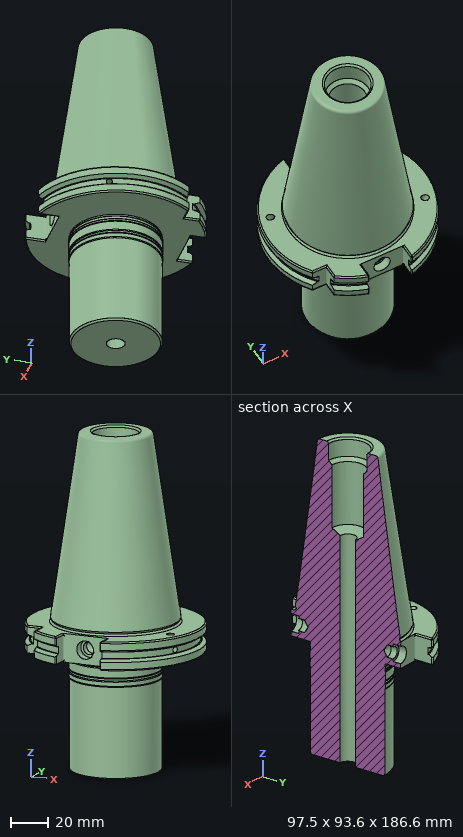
import cadquery as cq
import math


gauge_diameter = 69.85
taper_rate = 7 / 24
taper_length = 101.6
taper_tip_fillet = 2.0
taper_bottom = -1.0

neck_diameter = 68.8
neck_top = -2.1
neck_flare_diameter = 71.0

flange_diameter = 97.5
flange_top = -3.2
flange_thickness = 15.9
flange_chamfer = 0.8
inner_corner_fillet = 0.5
groove_center = -11.1
groove_floor_diameter = 91.25
groove_floor_width = 3.75
groove_mouth_width = 6.5
groove_half_angle = 30

keyway_width = 25.7
front_keyway_offset = 37.7
rear_keyway_offset = 35.3
notch_offset = 30.0

port_angle = 20
port_circle_radius = 42.0
port_diameter = 3.9
port_tilt = 30
screw_hole_diameter = 3.24

drive_hole_diameter = 7.0
drive_hole_depth = 9.0
drive_counterbore_diameter = 10.0
drive_counterbore_depth = 5.0

nose_diameter = 50.0
nose_length = 85.0
nose_chamfer = 1.0
band_diameter = 50.5
collar_top = -20.25
collar_bottom = -21.9
bands = [(-23.0, -29.2), (-30.3, -33.8)]
band_bevel_height = 0.6

bore_mouth_diameter = 27.2
pilot_diameter = 25.0
pilot_depth = 11.0
thread_bore_diameter = 20.75
thread_bore_depth = 50.0
through_diameter = 10.11
drill_point_angle = 118
countersink_angle = 90

flange_radius = flange_diameter / 2
flange_bottom = flange_top - flange_thickness
base_radius = gauge_diameter / 2 - taper_bottom * taper_rate / 2
tip_radius = gauge_diameter / 2 - taper_length * taper_rate / 2


def cone_height(large_diameter, small_diameter, included_angle):
    """Axial height of a cone frustum between two diameters."""
    return (large_diameter - small_diameter) / 2 / math.tan(math.radians(included_angle / 2))


def revolve_profile(points):
    """Solid of revolution about Z from (radius, z) points."""
    return cq.Workplane("XZ").polyline(points).close().revolve(360, (0, 0), (0, 1))


def make_taper():
    taper = revolve_profile([
        (0, flange_bottom),
        (neck_diameter / 2, flange_bottom),
        (neck_flare_diameter / 2, flange_top),
        (neck_diameter / 2, neck_top),
        (base_radius, taper_bottom),
        (tip_radius, taper_length),
        (0, taper_length),
    ])
    return taper.faces(">Z").edges().fillet(taper_tip_fillet)


def make_nose():
    nose = cq.Workplane("XY").workplane(offset=-nose_length).circle(nose_diameter / 2)
    nose = nose.extrude(nose_length + flange_bottom).faces("<Z").chamfer(nose_chamfer)
    nose = nose.union(make_band(collar_top, collar_bottom, 0))
    for top, bottom in bands:
        nose = nose.union(make_band(top, bottom, band_bevel_height))
    return nose


def make_band(top, bottom, bevel_height):
    """Raised band around the nose, with both ends bevelled, or square if the bevel height is 0."""
    core_radius = nose_diameter / 2
    band_radius = band_diameter / 2
    return revolve_profile([
        (0, bottom),
        (core_radius, bottom),
        (band_radius, bottom + bevel_height),
        (band_radius, top - bevel_height),
        (core_radius, top),
        (0, top),
    ])


def make_flange():
    flange = cq.Workplane("XY").workplane(offset=flange_bottom).circle(flange_radius)
    flange = flange.extrude(flange_thickness)

    def slab(x_low, x_high, y_low, y_high):
        box = cq.Workplane("XY").box(x_high - x_low, y_high - y_low, flange_thickness, centered=False)
        return box.translate((x_low, y_low, flange_bottom))

    half_width = keyway_width / 2
    flange = flange.cut(slab(-half_width, half_width, -flange_radius, -front_keyway_offset))
    flange = flange.cut(slab(-half_width, half_width, rear_keyway_offset, flange_radius))
    flange = flange.cut(slab(-flange_radius, -notch_offset, -flange_radius, -notch_offset))

    rim_and_walls = flange.faces("|Z").edges().filter(
        lambda edge: not is_keyway_floor_edge(edge)
    )
    keyway_corners = flange.edges("|Z").filter(is_keyway_corner)
    flange = rim_and_walls.add(keyway_corners).chamfer(flange_chamfer)
    flange = flange.edges("|Z").filter(is_inner_corner).fillet(inner_corner_fillet)
    return flange.cut(make_v_groove())


def is_keyway_floor_edge(edge):
    """Keyway floor edges are the only flange outline edges centred on X = 0."""
    return edge.geomType() == "LINE" and abs(edge.Center().x) < keyway_width / 4


def is_keyway_corner(edge):
    """Vertical edge where a keyway wall meets the rim."""
    center = edge.Center()
    on_rim = math.hypot(center.x, center.y) > groove_floor_diameter / 2
    return on_rim and abs(center.x) < keyway_width


def is_inner_corner(edge):
    """Vertical edge where two keyway or notch faces meet inside the rim."""
    center = edge.Center()
    return math.hypot(center.x, center.y) < groove_floor_diameter / 2


def make_v_groove():
    floor_radius = groove_floor_diameter / 2
    floor_half = groove_floor_width / 2
    mouth_half = groove_mouth_width / 2
    flank_depth = (mouth_half - floor_half) / math.tan(math.radians(groove_half_angle))
    flank_foot_radius = flange_radius - flank_depth
    return revolve_profile([
        (floor_radius, groove_center - floor_half),
        (flank_foot_radius, groove_center - floor_half),
        (flange_radius, groove_center - mouth_half),
        (flange_radius, groove_center + mouth_half),
        (flank_foot_radius, groove_center + floor_half),
        (floor_radius, groove_center + floor_half),
    ])


def make_bore():
    pilot_bottom = taper_length - pilot_depth
    entry_bottom = pilot_bottom - cone_height(pilot_diameter, thread_bore_diameter, countersink_angle)
    thread_bottom = taper_length - thread_bore_depth
    point_bottom = thread_bottom - cone_height(thread_bore_diameter, through_diameter, drill_point_angle)
    mouth_bottom = taper_length - cone_height(bore_mouth_diameter, pilot_diameter, countersink_angle)
    return revolve_profile([
        (0, taper_length),
        (bore_mouth_diameter / 2, taper_length),
        (pilot_diameter / 2, mouth_bottom),
        (pilot_diameter / 2, pilot_bottom),
        (thread_bore_diameter / 2, entry_bottom),
        (thread_bore_diameter / 2, thread_bottom),
        (through_diameter / 2, point_bottom),
        (through_diameter / 2, -nose_length),
        (0, -nose_length),
    ])


def make_drive_hole(floor_offset):
    """Counterbored drill hole along +Y, entering at Y = -floor_offset."""
    drill_radius = drive_hole_diameter / 2
    counterbore_radius = drive_counterbore_diameter / 2
    point_depth = drive_hole_depth + cone_height(drive_hole_diameter, 0, drill_point_angle)
    hole = cq.Workplane("XY").polyline([
        (0, 0),
        (counterbore_radius, 0),
        (counterbore_radius, drive_counterbore_depth),
        (drill_radius, drive_counterbore_depth),
        (drill_radius, drive_hole_depth),
        (0, point_depth),
    ]).close().revolve(360, (0, 0), (0, 1))
    return hole.translate((0, -floor_offset, groove_center))


def make_coolant_port():
    """Tilted port and the radial screw hole that meets it, on the +X side."""
    tilt = math.radians(port_tilt)
    drop = flange_top - groove_center
    meeting_radius = port_circle_radius - drop * math.tan(tilt)
    port_length = 2 * drop / math.cos(tilt)
    axis = cq.Vector(math.sin(tilt), 0, math.cos(tilt))
    port = cq.Workplane(cq.Solid.makeCylinder(
        port_diameter / 2,
        port_length,
        cq.Vector(meeting_radius, 0, groove_center),
        axis,
    ))
    screw_hole = cq.Workplane(cq.Solid.makeCylinder(
        screw_hole_diameter / 2,
        flange_radius - meeting_radius,
        cq.Vector(meeting_radius, 0, groove_center),
        cq.Vector(1, 0, 0),
    ))
    return port.union(screw_hole).rotate((0, 0, 0), (0, 0, 1), -port_angle)


result = make_taper().union(make_flange()).union(make_nose())
result = result.cut(make_bore())
result = result.cut(make_drive_hole(front_keyway_offset))
result = result.cut(make_drive_hole(rear_keyway_offset).rotate((0, 0, 0), (0, 0, 1), 180))
for turn in (0, 180):
    result = result.cut(make_coolant_port().rotate((0, 0, 0), (0, 0, 1), turn))